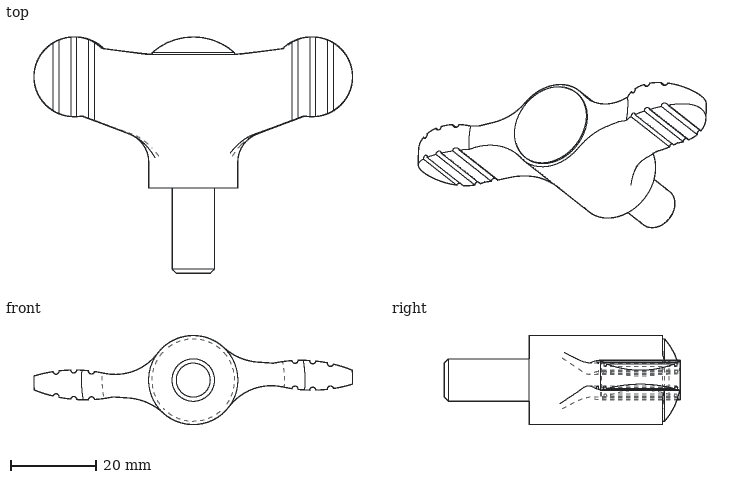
import math

import cadquery as cq

HUB_RADIUS = 10.5
HUB_SHOULDER_Y = 31.4
DOME_BASE_Y = 31.9
DOME_BASE_RADIUS = 9.7
OVERALL_TOP_Y = 35.6
STUD_RADIUS = 5.0
STUD_LENGTH = 20.0
STUD_CHAMFER = 1.0

TIP_RADIUS = 9.4
WING_REACH = 37.5
TIP_CENTER_R = WING_REACH - TIP_RADIUS
TIP_CENTER_Y = OVERALL_TOP_Y - TIP_RADIUS
TIP_NOTCH_ANGLE = 135.0
UNDERSIDE_SLOPE = 19.4
ROOT_ARC_START_Y = 6.15
ROOT_ARC_END_R = 15.2
UNDERSIDE_END_R = 26.3

SWELL_RADIUS = 32.0
UPPER_SWELL_CREST = (25.4, 4.68)
LOWER_SWELL_CREST = (28.0, -2.4)
UPPER_NECK_RADIUS = 13.3
UPPER_NECK_JOIN_X = 7.11
UPPER_FLAT_START_X = 14.8
UPPER_FLAT_END_X = 18.8
LOWER_NECK_RADIUS = 12.5
OVERRUN = 1.0
SECTION_END_X = WING_REACH + OVERRUN
CUT_LENGTH = OVERALL_TOP_Y + OVERRUN

SEAM_ANGLE = 90.0

GROOVE_RADIUS = 0.7
GROOVE_PITCH = 4.17
GROOVE_COUNT = 3


def circle_z(center, radius, x, side):
    """Z of a circle at x; side is +1 for its upper half and -1 for its lower half."""
    return center[1] + side * math.sqrt(radius**2 - (x - center[0]) ** 2)


def toward(start, end, distance):
    """Point at a distance from start along the line to end."""
    fraction = distance / math.dist(start, end)
    return (start[0] + fraction * (end[0] - start[0]), start[1] + fraction * (end[1] - start[1]))


def turned(point, side):
    """The point itself for side +1, or turned half a turn about the Y axis for side -1."""
    return (side * point[0], side * point[1])


UPPER_SWELL_CENTER = (UPPER_SWELL_CREST[0], UPPER_SWELL_CREST[1] - SWELL_RADIUS)
LOWER_SWELL_CENTER = (LOWER_SWELL_CREST[0], LOWER_SWELL_CREST[1] + SWELL_RADIUS)


def upper_swell_point(x):
    return (x, circle_z(UPPER_SWELL_CENTER, SWELL_RADIUS, x, 1))


def lower_swell_point(x):
    return (x, circle_z(LOWER_SWELL_CENTER, SWELL_RADIUS, x, -1))


def make_lower_hub():
    """Lower hub and chamfered stud, turned in one piece."""
    return (
        cq.Workplane("XY")
        .moveTo(0, -STUD_LENGTH)
        .lineTo(STUD_RADIUS - STUD_CHAMFER, -STUD_LENGTH)
        .lineTo(STUD_RADIUS, -STUD_LENGTH + STUD_CHAMFER)
        .lineTo(STUD_RADIUS, 0)
        .lineTo(HUB_RADIUS, 0)
        .lineTo(HUB_RADIUS, ROOT_ARC_START_Y)
        .lineTo(0, ROOT_ARC_START_Y)
        .close()
        .revolve(360, (0, 0), (0, 1))
    )


def make_dome():
    """Shallow dome on a short collar, set in from the hub's shoulder."""
    dome_rise = OVERALL_TOP_Y - DOME_BASE_Y
    dome_radius = (DOME_BASE_RADIUS**2 + dome_rise**2) / (2 * dome_rise)
    dome_mid_r = DOME_BASE_RADIUS / 2
    dome_mid_y = OVERALL_TOP_Y - dome_radius + math.sqrt(dome_radius**2 - dome_mid_r**2)
    return (
        cq.Workplane("XY")
        .moveTo(0, HUB_SHOULDER_Y)
        .lineTo(DOME_BASE_RADIUS, HUB_SHOULDER_Y)
        .lineTo(DOME_BASE_RADIUS, DOME_BASE_Y)
        .threePointArc((dome_mid_r, dome_mid_y), (0, OVERALL_TOP_Y))
        .close()
        .revolve(360, (0, 0), (0, 1))
    )


def make_wing_envelope():
    """Wing outline turned about the Y axis."""
    slope = math.radians(UNDERSIDE_SLOPE)
    root_radius = (ROOT_ARC_END_R - HUB_RADIUS) / (1 - math.sin(slope))
    root_center_r = HUB_RADIUS + root_radius
    root_end = (ROOT_ARC_END_R, ROOT_ARC_START_Y + root_radius * math.cos(slope))
    root_mid_angle = (math.pi + math.pi / 2 + slope) / 2
    root_mid = (
        root_center_r + root_radius * math.cos(root_mid_angle),
        ROOT_ARC_START_Y + root_radius * math.sin(root_mid_angle),
    )
    underside_end_y = TIP_CENTER_Y - math.sqrt(TIP_RADIUS**2 - (UNDERSIDE_END_R - TIP_CENTER_R) ** 2)
    notch_angle = math.radians(TIP_NOTCH_ANGLE)
    notch = (
        TIP_CENTER_R + TIP_RADIUS * math.cos(notch_angle),
        TIP_CENTER_Y + TIP_RADIUS * math.sin(notch_angle),
    )
    return (
        cq.Workplane("XY")
        .moveTo(0, ROOT_ARC_START_Y)
        .lineTo(HUB_RADIUS, ROOT_ARC_START_Y)
        .threePointArc(root_mid, root_end)
        .lineTo(UNDERSIDE_END_R, underside_end_y)
        .threePointArc((WING_REACH, TIP_CENTER_Y), notch)
        .lineTo(HUB_RADIUS, HUB_SHOULDER_Y)
        .lineTo(0, HUB_SHOULDER_Y)
        .close()
        .revolve(360, (0, 0), (0, 1))
        .rotate((0, 0, 0), (0, 1, 0), SEAM_ANGLE)
    )


def make_wing_section():
    """Bar along Y whose section is the hub with both wings, necked at the hub and swollen at the tips."""
    join_scale = (HUB_RADIUS + UPPER_NECK_RADIUS) / HUB_RADIUS
    upper_join = (UPPER_NECK_JOIN_X, math.sqrt(HUB_RADIUS**2 - UPPER_NECK_JOIN_X**2))
    upper_center = (upper_join[0] * join_scale, upper_join[1] * join_scale)
    upper_mid_x = (UPPER_NECK_JOIN_X + UPPER_FLAT_START_X) / 2
    upper_mid = (upper_mid_x, circle_z(upper_center, UPPER_NECK_RADIUS, upper_mid_x, -1))
    flat_start = (UPPER_FLAT_START_X, circle_z(upper_center, UPPER_NECK_RADIUS, UPPER_FLAT_START_X, -1))

    hub_center = (0.0, 0.0)
    to_hub = HUB_RADIUS + LOWER_NECK_RADIUS
    to_swell = SWELL_RADIUS + LOWER_NECK_RADIUS
    spacing = math.dist(hub_center, LOWER_SWELL_CENTER)
    along = (to_hub**2 - to_swell**2 + spacing**2) / (2 * spacing)
    across = math.sqrt(to_hub**2 - along**2)
    unit_x = LOWER_SWELL_CENTER[0] / spacing
    unit_z = LOWER_SWELL_CENTER[1] / spacing
    lower_center = (along * unit_x + across * unit_z, along * unit_z - across * unit_x)
    lower_join = toward(hub_center, lower_center, HUB_RADIUS)
    lower_end = toward(lower_center, LOWER_SWELL_CENTER, LOWER_NECK_RADIUS)
    lower_mid_x = (lower_join[0] + lower_end[0]) / 2
    lower_mid = (lower_mid_x, circle_z(lower_center, LOWER_NECK_RADIUS, lower_mid_x, 1))

    section = cq.Workplane("XZ").moveTo(*upper_join)
    for side in (1, -1):
        section = (
            section.threePointArc(turned(upper_mid, side), turned(flat_start, side))
            .lineTo(*turned(upper_swell_point(UPPER_FLAT_END_X), side))
            .threePointArc(turned(UPPER_SWELL_CREST, side), turned(upper_swell_point(SECTION_END_X), side))
            .lineTo(*turned(lower_swell_point(SECTION_END_X), side))
            .threePointArc(turned(LOWER_SWELL_CREST, side), turned(lower_end, side))
            .threePointArc(turned(lower_mid, side), turned(lower_join, side))
            .threePointArc(turned((0, -HUB_RADIUS), side), turned(upper_join, -side))
        )
    return section.close().extrude(-CUT_LENGTH)


def make_grooves():
    """Round-bottomed grooves along Y, centred on both faces of both wings."""
    centers = []
    for index in range(GROOVE_COUNT):
        x = TIP_CENTER_R + (index - (GROOVE_COUNT - 1) / 2) * GROOVE_PITCH
        for side in (1, -1):
            centers.append(turned(upper_swell_point(x), side))
            centers.append(turned(lower_swell_point(x), side))
    return cq.Workplane("XZ").pushPoints(centers).circle(GROOVE_RADIUS).extrude(-CUT_LENGTH)


winged_hub = make_wing_section().intersect(make_wing_envelope()).cut(make_grooves())
result = make_lower_hub().union(winged_hub).union(make_dome())